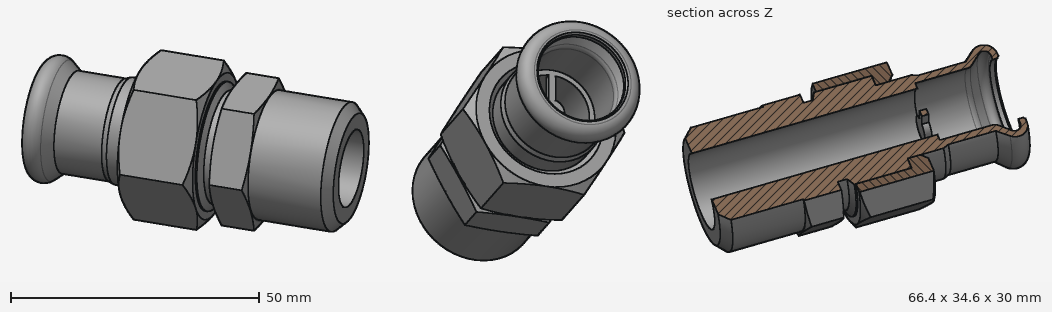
import cadquery as cq
import math

LENGTH = 66.4

BEAD_ROLL = 2.7
BEAD_RADIUS = 13.1
ROLL_CENTRE_RADIUS = BEAD_RADIUS - BEAD_ROLL
CONE_ANGLE = 40.0
GROOVE_ROLL = 1.25
LIP_BORE_RADIUS = 9.35
LIP_CHAMFER = 0.4
TUBE_RADIUS = 10.55
TUBE_BORE_RADIUS = 9.1
BORE_BLEND = 2.0

COLLAR_RADIUS = 11.0
BLEND_START = 16.85
BLEND_END = 18.05

NUT_START = 21.7
NUT_END = 37.7
NUT_ACROSS_FLATS = 30.0
NUT_CHAMFER_RADIUS = NUT_ACROSS_FLATS / 2
NUT_LIP_THICKNESS = 4.0
NUT_COUNTERSINK = 1.1
NUT_CHAMFER_ANGLE = 30.0

SEAT_RADIUS = 13.3
SEAT_END = 38.05
NECK_START = 39.0
NECK_RADIUS = 11.7

WRENCH_START = 40.9
WRENCH_END = 48.95
WRENCH_ACROSS_FLATS = 27.0
WRENCH_CHAMFER_RADIUS = WRENCH_ACROSS_FLATS / 2
WRENCH_CHAMFER_ANGLE = 15.0

THREAD_RADIUS = 13.3
THREAD_CHAMFER = 2.0

BORE_RADIUS = 8.0
DISC_RADIUS = 2.65
STEM_WIDTH = 1.5
DISC_THICKNESS = STEM_WIDTH


def arc_point(roll_radius, angle):
    """Point (position, radius) on a circle about the bead roll centre, angle from outwards to +X."""
    turn = math.radians(angle)
    return (BEAD_ROLL + roll_radius * math.sin(turn), ROLL_CENTRE_RADIUS + roll_radius * math.cos(turn))


def cone_end_position(cone_start, end_radius):
    """Where the bead cone that leaves cone_start comes down to end_radius."""
    position, radius = cone_start
    return position + (radius - end_radius) / math.tan(math.radians(CONE_ANGLE))


def revolve_about_x(profile):
    """Turn a closed (position, radius) profile around the pipe axis."""
    return profile.close().revolve(360, (0, 0, 0), (1, 0, 0))


def cylinder_along_x(start, end, radius):
    return cq.Workplane("YZ").workplane(offset=start).circle(radius).extrude(end - start)


def chamfered_hexagon(start, end, across_flats, chamfer_radius, chamfer_angle):
    """Hexagon along X, flats up and down, with both ends chamfered by a cone."""
    corner_radius = across_flats / math.sqrt(3)
    drop = (corner_radius - chamfer_radius) * math.tan(math.radians(chamfer_angle))
    prism = (
        cq.Workplane("YZ")
        .workplane(offset=start)
        .polygon(6, 2 * corner_radius)
        .extrude(end - start)
    )
    envelope = revolve_about_x(
        cq.Workplane("XY")
        .moveTo(start, 0)
        .lineTo(start, chamfer_radius)
        .lineTo(start + drop, corner_radius)
        .lineTo(end - drop, corner_radius)
        .lineTo(end, chamfer_radius)
        .lineTo(end, 0)
    )
    return prism.intersect(envelope)


def outer_form():
    """Solid outline of the pipe, without bores or the wrench hexagon."""
    cone_start = arc_point(BEAD_ROLL, CONE_ANGLE)
    cone_end = cone_end_position(cone_start, TUBE_RADIUS)
    seat_start = NUT_START + NUT_LIP_THICKNESS
    return revolve_about_x(
        cq.Workplane("XY")
        .lineTo(0, ROLL_CENTRE_RADIUS)
        .threePointArc(arc_point(BEAD_ROLL, 0), cone_start)
        .lineTo(cone_end, TUBE_RADIUS)
        .lineTo(BLEND_START, TUBE_RADIUS)
        .lineTo(BLEND_END, COLLAR_RADIUS)
        .lineTo(seat_start, COLLAR_RADIUS)
        .lineTo(seat_start, SEAT_RADIUS)
        .lineTo(SEAT_END, SEAT_RADIUS)
        .lineTo(NECK_START, NECK_RADIUS)
        .lineTo(WRENCH_START, NECK_RADIUS)
        .lineTo(WRENCH_START, THREAD_RADIUS)
        .lineTo(LENGTH - THREAD_CHAMFER, THREAD_RADIUS)
        .lineTo(LENGTH, THREAD_RADIUS - THREAD_CHAMFER)
        .lineTo(LENGTH, 0)
    )


def press_socket():
    """Hollow of the press end: chamfered lip, seal groove and tube bore."""
    groove_wall = BEAD_ROLL - GROOVE_ROLL
    cone_start = arc_point(GROOVE_ROLL, CONE_ANGLE)
    slope = math.radians(CONE_ANGLE)
    cone_end_radius = TUBE_BORE_RADIUS + BORE_BLEND * (1 - math.cos(slope))
    cone_end = cone_end_position(cone_start, cone_end_radius)
    blend_end = cone_end + BORE_BLEND * math.sin(slope)
    return revolve_about_x(
        cq.Workplane("XY")
        .lineTo(0, LIP_BORE_RADIUS + LIP_CHAMFER)
        .lineTo(LIP_CHAMFER, LIP_BORE_RADIUS)
        .lineTo(groove_wall, LIP_BORE_RADIUS)
        .lineTo(groove_wall, ROLL_CENTRE_RADIUS)
        .threePointArc(arc_point(GROOVE_ROLL, 0), cone_start)
        .lineTo(cone_end, cone_end_radius)
        .tangentArcPoint((blend_end, TUBE_BORE_RADIUS), relative=False)
        .lineTo(BLEND_END, TUBE_BORE_RADIUS)
        .lineTo(BLEND_END, 0)
    )


def hung_disc():
    """Disc on the pipe axis, held from the top of the bore by a stem."""
    plane = cq.Workplane("YZ").workplane(offset=BLEND_END)
    disc = plane.circle(DISC_RADIUS).extrude(DISC_THICKNESS)
    stem_length = (BORE_RADIUS + TUBE_BORE_RADIUS) / 2
    stem = plane.rect(STEM_WIDTH, stem_length).extrude(DISC_THICKNESS)
    return disc.union(stem.translate((0, 0, stem_length / 2)))


def make_fitting():
    wrench = chamfered_hexagon(
        WRENCH_START, WRENCH_END, WRENCH_ACROSS_FLATS, WRENCH_CHAMFER_RADIUS, WRENCH_CHAMFER_ANGLE
    )
    main_bore = cylinder_along_x(BLEND_END, LENGTH, BORE_RADIUS)
    return outer_form().union(wrench).cut(press_socket()).cut(main_bore).union(hung_disc())


def make_nut():
    lip_end = NUT_START + NUT_LIP_THICKNESS
    hexagon = chamfered_hexagon(
        NUT_START, NUT_END, NUT_ACROSS_FLATS, NUT_CHAMFER_RADIUS, NUT_CHAMFER_ANGLE
    )
    hollow = revolve_about_x(
        cq.Workplane("XY")
        .moveTo(NUT_START, 0)
        .lineTo(NUT_START, COLLAR_RADIUS + NUT_COUNTERSINK)
        .lineTo(NUT_START + NUT_COUNTERSINK, COLLAR_RADIUS)
        .lineTo(lip_end, COLLAR_RADIUS)
        .lineTo(lip_end, SEAT_RADIUS)
        .lineTo(NUT_END, SEAT_RADIUS)
        .lineTo(NUT_END, 0)
    )
    return hexagon.cut(hollow)


fitting = make_fitting()
nut = make_nut()
result = cq.Compound.makeCompound([fitting.val(), nut.val()])